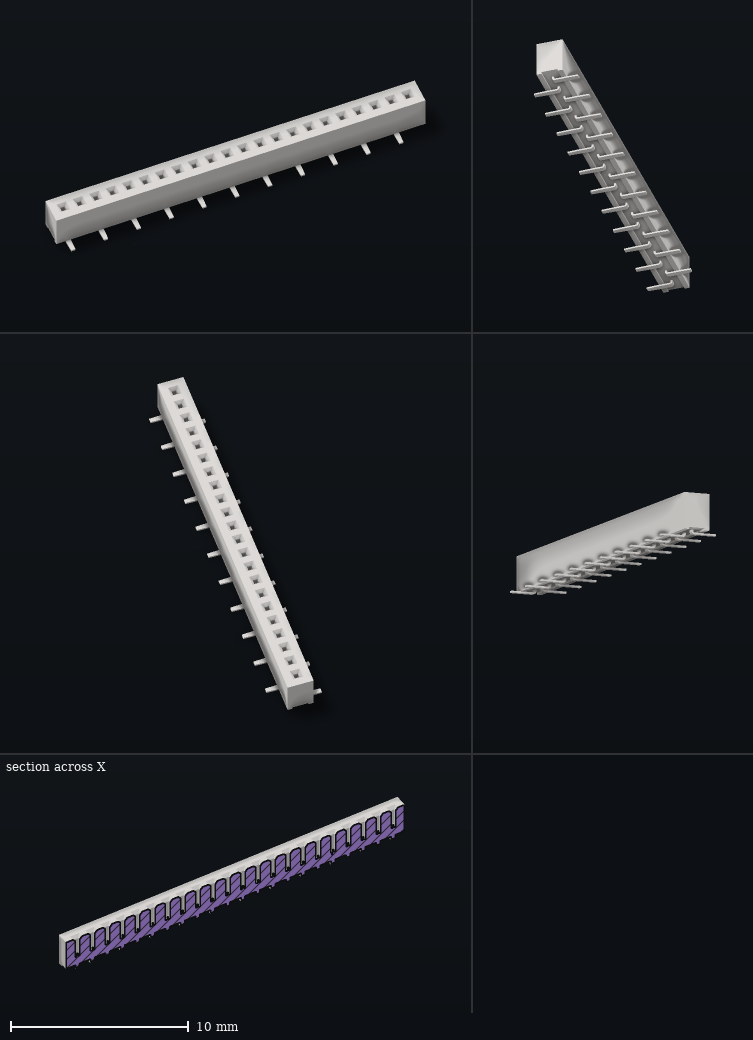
import cadquery as cq

length = 22.5
width = 1.55
top_z = 2.25
bottom_z = 0.15

channel_width = 0.97
channel_top_z = 0.27

contact_count = 22
pitch = length / (contact_count + 0.5)
lead_span = 2.95
strip_width = 0.3
strip_thickness = 0.101
bend_radius = 0.07
taper_length = 0.56
lead_end_width = 0.25

mouth_size = 0.6
well_size = 0.27
funnel_depth = 0.18
well_floor_z = 0.9
tip_size = strip_thickness
tip_top_z = 1.12


def block(x_size, y_size, z_low, z_high):
    """Box centred on X and Y between two heights."""
    return cq.Workplane("XY").workplane(offset=z_low).rect(x_size, y_size).extrude(z_high - z_low)


def make_housing():
    """Long bar with a shallow channel along its underside."""
    bar = block(width, length, bottom_z, top_z)
    return bar.cut(block(channel_width, length, bottom_z, channel_top_z))


def make_socket():
    """Volume to remove for one socket, leaving the contact tip standing."""
    funnel_bottom_z = top_z - funnel_depth
    funnel = (
        cq.Workplane("XY")
        .workplane(offset=funnel_bottom_z)
        .rect(well_size, well_size)
        .workplane(offset=funnel_depth)
        .rect(mouth_size, mouth_size)
        .loft(ruled=True)
    )
    well = block(well_size, well_size, well_floor_z, funnel_bottom_z)
    tip = block(tip_size, tip_size, well_floor_z, tip_top_z)
    return funnel.union(well).cut(tip)


def make_contact():
    """Stem below the housing, bent into a lead that runs out along +X."""
    stem_half = strip_thickness / 2
    lead_end_x = lead_span / 2
    outer_radius = bend_radius + strip_thickness
    strip = (
        cq.Workplane("XZ")
        .moveTo(-stem_half, channel_top_z)
        .lineTo(-stem_half, outer_radius)
        .radiusArc((-stem_half + outer_radius, 0), -outer_radius)
        .lineTo(lead_end_x, 0)
        .lineTo(lead_end_x, strip_thickness)
        .lineTo(stem_half + bend_radius, strip_thickness)
        .radiusArc((stem_half, strip_thickness + bend_radius), bend_radius)
        .lineTo(stem_half, channel_top_z)
        .close()
        .extrude(strip_width / 2, both=True)
    )
    plan = (
        cq.Workplane("XY")
        .moveTo(-stem_half, -strip_width / 2)
        .lineTo(lead_end_x - taper_length, -strip_width / 2)
        .lineTo(lead_end_x, -lead_end_width / 2)
        .lineTo(lead_end_x, lead_end_width / 2)
        .lineTo(lead_end_x - taper_length, strip_width / 2)
        .lineTo(-stem_half, strip_width / 2)
        .close()
        .extrude(channel_top_z)
    )
    return strip.intersect(plan)


result = make_housing()
socket = make_socket()
right_contact = make_contact()
left_contact = right_contact.mirror("YZ")
first_y = -pitch * (contact_count - 1) / 2
for index in range(contact_count):
    position = (0, first_y + index * pitch, 0)
    contact = right_contact if index % 2 == 0 else left_contact
    result = result.cut(socket.translate(position)).union(contact.translate(position))